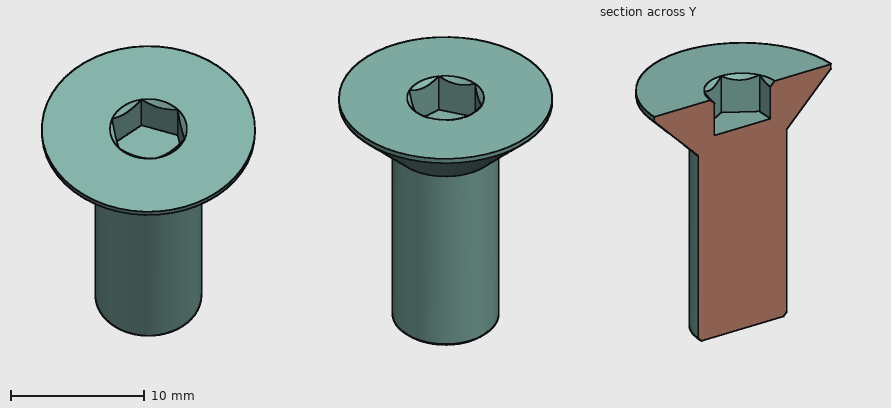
import cadquery as cq
import math

total_length = 20.0
head_diameter = 16.0
shank_diameter = 8.0
rim_height = 0.4
tip_chamfer = 0.3

socket_across_flats = 5.0
socket_depth = 3.05
socket_lead_angle = 45.0

head_radius = head_diameter / 2
shank_radius = shank_diameter / 2
cone_height = head_radius - shank_radius
head_height = rim_height + cone_height
socket_corner_radius = socket_across_flats / math.sqrt(3)


def screw_body():
    """Revolve the half profile, with the tip at Z = 0 and the axis along Z."""
    return (
        cq.Workplane("XZ")
        .lineTo(shank_radius - tip_chamfer, 0)
        .lineTo(shank_radius, tip_chamfer)
        .lineTo(shank_radius, total_length - head_height)
        .lineTo(head_radius, total_length - rim_height)
        .lineTo(head_radius, total_length)
        .lineTo(0, total_length)
        .close()
        .revolve(360, (0, 0, 0), (0, 1, 0))
    )


def hex_socket():
    """Hexagonal prism with two corners on the Y axis."""
    return (
        cq.Workplane("XY", origin=(0, 0, total_length))
        .transformed(rotate=(0, 0, 90))
        .polygon(6, 2 * socket_corner_radius)
        .extrude(-socket_depth)
    )


def socket_lead_in():
    """Cone that meets the socket corners at the top face."""
    cone_depth = socket_corner_radius * math.tan(math.radians(socket_lead_angle))
    return (
        cq.Workplane("XZ", origin=(0, 0, total_length))
        .lineTo(socket_corner_radius, 0)
        .lineTo(0, -cone_depth)
        .close()
        .revolve(360, (0, 0, 0), (0, 1, 0))
    )


result = screw_body().cut(hex_socket()).cut(socket_lead_in())